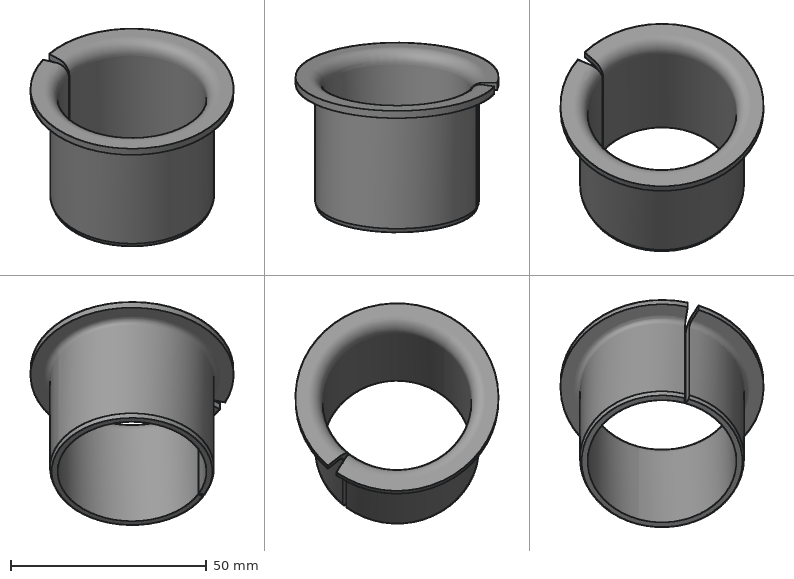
import cadquery as cq
import math

flange_diameter = 52.0
body_diameter = 42.0
height = 35.0
wall = 2.0
outer_bend_radius = 1.5
chamfer_height = 1.2
chamfer_angle = 20.0
gap_at_bore = 0.4
gap_side_angle = 10.0

flange_radius = flange_diameter / 2
body_radius = body_diameter / 2
bore_radius = body_radius - wall
inner_bend_radius = outer_bend_radius + wall
bend_center_radius = body_radius + outer_bend_radius
bend_center_z = height - inner_bend_radius
flange_bottom_z = height - wall
chamfer_width = chamfer_height * math.tan(math.radians(chamfer_angle))


def bend_midpoint(radius):
    """Middle of a quarter bend, as (radial position, height)."""
    offset = radius * math.sqrt(0.5)
    return bend_center_radius - offset, bend_center_z + offset


def flanged_sleeve():
    """Sleeve of constant wall, bent outward into a flange at the top."""
    return (
        cq.Workplane("XZ")
        .moveTo(bore_radius, 0)
        .lineTo(body_radius - chamfer_width, 0)
        .lineTo(body_radius, chamfer_height)
        .lineTo(body_radius, bend_center_z)
        .threePointArc(bend_midpoint(outer_bend_radius), (bend_center_radius, flange_bottom_z))
        .lineTo(flange_radius, flange_bottom_z)
        .lineTo(flange_radius, height)
        .lineTo(bend_center_radius, height)
        .threePointArc(bend_midpoint(inner_bend_radius), (bore_radius, bend_center_z))
        .close()
        .revolve(360, (0, 0, 0), (0, 1, 0))
    )


def split_wedge():
    """Full-height wedge on the -X side, widening outward from the bore."""
    slope = math.tan(math.radians(gap_side_angle))
    apex_radius = bore_radius - gap_at_bore / 2 / slope
    outer_half_width = (flange_radius - apex_radius) * slope
    return (
        cq.Workplane("XY")
        .moveTo(-apex_radius, 0)
        .lineTo(-flange_radius, outer_half_width)
        .lineTo(-flange_radius, -outer_half_width)
        .close()
        .extrude(height)
    )


result = flanged_sleeve().cut(split_wedge())